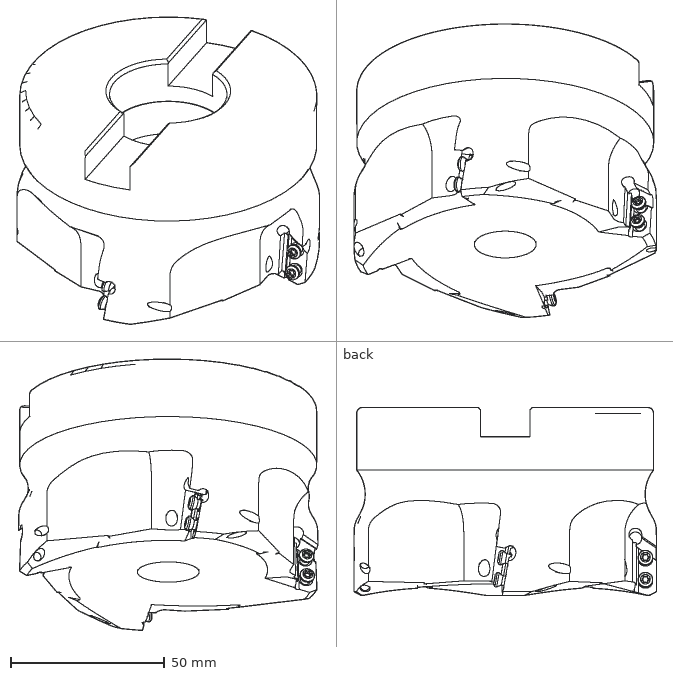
import cadquery as cq
import math

TEETH = 4
PITCH_ANGLE = 360 / TEETH

HEIGHT = 61.5
TOOTH_RADIUS = 49.4
RING_RADIUS = 48.5
RING_BOTTOM = 41.0
RING_EDGE_RADIUS = 2.0
NECK_RADIUS = 45.8
NECK_Z = 33.3
NECK_END = (47.1, 27.4)
SHOULDER_START = (47.9, 25.9)
SHOULDER_MIDDLE = (49.0, 23.6)
SHOULDER_END_Z = 21.1
CORNER_START_Z = 1.3
CORNER_INNER_RADIUS = 46.9

SHANK_BORE_RADIUS = 19.2
SHANK_BORE_CHAMFER = 1.2
LOWER_BORE_RADIUS = 19.0
LOWER_BORE_DEPTH = 15.3
BORE_FLOOR_Z = 33.9
BOLT_HOLE_RADIUS = 10.1
BOLT_HOLE_CHAMFER = 0.2
SLOT_WIDTH = 16.0
SLOT_DEPTH = 9.6
SLOT_CHAMFER = 0.9

DISH_RADIUS = 31.1
DISH_HEIGHT = 4.2
RELIEF_START = 5.9
RELIEF_END_ANGLE = 50.0
RELIEF_SLOPE_BACK = 0.34
RELIEF_SLOPE_OUT = 0.22
RECESS_PROFILE = [(CORNER_INNER_RADIUS, 0), (44.0, 1.7), (42.2, 4.3), (39.1, 4.8), (23.7, 2.8)]
RECESS_BACK = -28.7

GULLET_CORNER = (39.0, -13.5)
GULLET_FACE_ANGLE = 60.0
GULLET_ROOF_RADIUS = 11.4
GULLET_ROOF_Z = 20.5
GULLET_ROOF_TILT = 5.0
GULLET_WALL_TILT = 7.0
GULLET_WALL_Y = -4.8
GULLET_CORNER_RADIUS = 3.2
WALL_MARGIN = 3.0

SEAT_TILT = 10.0
SEAT_Y = -1.0
SEAT_INNER_X = 42.8
SEAT_TOP = 20.0
TOP_GROOVE_DROP = 1.4
SHELF_X = 41.5
SHELF_HEIGHT = 1.6
RELIEF_HOLE_X = 42.5
RELIEF_HOLE_HEIGHT = 19.4
RELIEF_HOLE_DEPTH = 2.1
SEAT_TOP_SLOPE = 34.5
SEAT_OPENING = 8.9
RELIEF_HOLE_RADIUS = 2.1
TOP_GROOVE_RADIUS = 2.0
SIDE_GROOVE_RADIUS = 0.7

SCREW_X = 45.8
SCREW_HEIGHTS = [4.8, 12.2]
SCREW_HOLE_RADIUS = 1.6
SCREW_LENGTH = 8.9
SINK_RADIUS = 2.4
NECK_LENGTH = 0.9
HEAD_RADIUS = 2.4
HEAD_CLEARANCE = 0.1
HEAD_RIM_START = 2.3
HEAD_RIM_END = 2.9
HEAD_FACE_RADIUS = 1.6
HEAD_TOP = 3.5
SOCKET_RADIUS = 0.9
SOCKET_DEPTH = 1.2
SOCKET_LOBES = 6
LOBE_RADIUS = 0.3

DUCT_RADIUS = 1.9
DUCT_START = (15.2, -2.5, BORE_FLOOR_Z)
DUCT_END = (39.5, -6.9, 8.5)

REACH = 29.6


def wedge_height(degrees, length):
    return length * math.tan(math.radians(degrees))


def rod(start, end, radius, overrun=0.0):
    """Cylinder between two points, lengthened by overrun at both ends."""
    first = cq.Vector(*start)
    axis = (cq.Vector(*end) - first).normalized()
    length = (cq.Vector(*end) - first).Length + 2 * overrun
    return cq.Workplane(cq.Solid.makeCylinder(radius, length, first - axis * overrun, axis))


def around(tool, index):
    return tool.rotate((0, 0, 0), (0, 0, 1), index * PITCH_ANGLE)


def seat_plane(x=0.0, height=0.0):
    """Plane lying in the seat; its normal points out of the seat, its local Y up the seat."""
    tilt = math.radians(SEAT_TILT)
    origin = (x, SEAT_Y + height * math.sin(tilt), height * math.cos(tilt))
    return cq.Plane(origin=origin, xDir=(1, 0, 0), normal=(0, -math.cos(tilt), math.sin(tilt)))


def turned_blank():
    outline = (
        cq.Workplane("XZ")
        .moveTo(0, HEIGHT)
        .lineTo(RING_RADIUS, HEIGHT)
        .lineTo(RING_RADIUS, RING_BOTTOM)
        .threePointArc((NECK_RADIUS, NECK_Z), NECK_END)
        .lineTo(*SHOULDER_START)
        .threePointArc(SHOULDER_MIDDLE, (TOOTH_RADIUS, SHOULDER_END_Z))
        .lineTo(TOOTH_RADIUS, CORNER_START_Z)
        .lineTo(CORNER_INNER_RADIUS, 0)
        .lineTo(DISH_RADIUS, DISH_HEIGHT)
        .lineTo(0, DISH_HEIGHT)
        .close()
    )
    return outline.revolve(360, (0, 0, 0), (0, 1, 0)).faces(">Z").edges().fillet(RING_EDGE_RADIUS)


def bore():
    lower_top = HEIGHT - LOWER_BORE_DEPTH
    mouth_radius = SHANK_BORE_RADIUS + SHANK_BORE_CHAMFER
    outline = (
        cq.Workplane("XZ")
        .moveTo(0, HEIGHT)
        .lineTo(mouth_radius, HEIGHT)
        .lineTo(SHANK_BORE_RADIUS, HEIGHT - SHANK_BORE_CHAMFER)
        .lineTo(SHANK_BORE_RADIUS, lower_top)
        .lineTo(LOWER_BORE_RADIUS, lower_top)
        .lineTo(LOWER_BORE_RADIUS, BORE_FLOOR_Z)
        .lineTo(BOLT_HOLE_RADIUS + BOLT_HOLE_CHAMFER, BORE_FLOOR_Z)
        .lineTo(BOLT_HOLE_RADIUS, BORE_FLOOR_Z - BOLT_HOLE_CHAMFER)
        .lineTo(BOLT_HOLE_RADIUS, 0)
        .lineTo(0, 0)
        .close()
    )
    return outline.revolve(360, (0, 0, 0), (0, 1, 0))


def drive_slot():
    half = SLOT_WIDTH / 2
    floor_z = HEIGHT - SLOT_DEPTH
    outline = [
        (-half, floor_z),
        (half, floor_z),
        (half, HEIGHT - SLOT_CHAMFER),
        (half + SLOT_CHAMFER, HEIGHT),
        (-half - SLOT_CHAMFER, HEIGHT),
        (-half, HEIGHT - SLOT_CHAMFER),
    ]
    return cq.Workplane("XZ").polyline(outline).close().extrude(TOOTH_RADIUS, both=True)


def gullet_face_tool(face_angle):
    """Everything outside one upright gullet face, with a round roof along its top edge."""
    direction = math.radians(face_angle)
    along = cq.Vector(math.cos(direction), math.sin(direction), 0)
    outward = cq.Vector(math.sin(direction), -math.cos(direction), 0)
    drop = cq.Vector(0, 0, -math.tan(math.radians(GULLET_ROOF_TILT)))
    axis = (along + drop).normalized()
    length = 2 * TOOTH_RADIUS
    start = cq.Vector(*GULLET_CORNER, GULLET_ROOF_Z) + axis * (length / 2)
    plane = cq.Plane(origin=start, xDir=outward, normal=axis * -1)
    radius = GULLET_ROOF_RADIUS
    arc_middle = radius * math.sqrt(0.5)
    return (
        cq.Workplane(plane)
        .moveTo(0, -REACH)
        .lineTo(0, 0)
        .threePointArc((radius - arc_middle, arc_middle), (radius, radius))
        .lineTo(REACH, radius)
        .lineTo(REACH, -REACH)
        .close()
        .extrude(length)
    )


def gullet_wall_y(z):
    return GULLET_WALL_Y + wedge_height(GULLET_WALL_TILT, z)


def is_gullet_corner(edge):
    """True for the upright edge and the roof edge that the wall makes inside the material."""
    middle = edge.Center()
    in_reach = middle.x < GULLET_CORNER[0] + GULLET_ROOF_RADIUS
    return in_reach and middle.z > 0


def gullet():
    """Two upright faces meeting at a ridge, ended by the leaning wall in front of the seat."""
    front_of_wall = [
        (gullet_wall_y(-REACH), -REACH),
        (gullet_wall_y(2 * REACH), 2 * REACH),
        (-TOOTH_RADIUS, 2 * REACH),
        (-TOOTH_RADIUS, -REACH),
    ]
    wall_space = cq.Workplane("YZ").polyline(front_of_wall).close().extrude(2 * TOOTH_RADIUS)
    inner = gullet_face_tool(90).intersect(wall_space)
    wall_face = inner.faces(">Y").val()
    corner_edges = [edge for edge in wall_face.Edges() if is_gullet_corner(edge)]
    inner = inner.newObject(corner_edges).fillet(GULLET_CORNER_RADIUS)
    outer = gullet_face_tool(GULLET_FACE_ANGLE)
    clear_of_wall = cq.Workplane("XY").box(4 * TOOTH_RADIUS, TOOTH_RADIUS, 4 * TOOTH_RADIUS)
    clear_of_wall = clear_of_wall.translate((0, GULLET_CORNER[1] + WALL_MARGIN - TOOTH_RADIUS / 2, 0))
    return inner.union(outer.intersect(clear_of_wall))


def underside_relief():
    """Space below the sloping plane that clears the back of a tooth."""
    base = cq.Vector(CORNER_INNER_RADIUS, RELIEF_START, 0)
    normal = cq.Vector(RELIEF_SLOPE_OUT, RELIEF_SLOPE_BACK, -1)
    plane = cq.Plane(origin=base, xDir=(RELIEF_SLOPE_BACK, -RELIEF_SLOPE_OUT, 0), normal=normal)
    slab = cq.Workplane(plane).rect(4 * REACH, 4 * REACH).extrude(REACH)
    sector_end = wedge_height(RELIEF_END_ANGLE, 2 * REACH)
    sector = cq.Workplane("XY").polyline([(0, 0), (2 * REACH, 0), (2 * REACH, sector_end)]).close()
    return slab.intersect(sector.extrude(REACH))


def underside_recess():
    """Chip recess under the body in front of the seat."""
    first_x = RECESS_PROFILE[0][0]
    last_x = RECESS_PROFILE[-1][0]
    section = (
        cq.Workplane("XZ", origin=(0, RECESS_BACK, 0))
        .polyline(RECESS_PROFILE + [(last_x, -REACH), (first_x, -REACH)])
        .close()
    )
    return section.extrude(RECESS_BACK - SEAT_Y)


def insert_seat():
    """Insert pocket with a shelf beside the seat, relief grooves and a corner relief hole."""
    drop = wedge_height(SEAT_TOP_SLOPE, REACH)
    frame = seat_plane()
    outline = [
        (SEAT_INNER_X, -REACH),
        (SEAT_INNER_X, SEAT_TOP),
        (SEAT_INNER_X + REACH, SEAT_TOP - drop),
        (SEAT_INNER_X + REACH, -REACH),
    ]
    pocket = cq.Workplane(frame).polyline(outline).close().extrude(SEAT_OPENING)
    shelf_outline = [
        (SHELF_X, -REACH),
        (SHELF_X, SEAT_TOP),
        (SEAT_INNER_X, SEAT_TOP),
        (SEAT_INNER_X, -REACH),
    ]
    shelf = cq.Workplane(frame).workplane(offset=SHELF_HEIGHT).polyline(shelf_outline).close()
    shelf = shelf.extrude(SEAT_OPENING - SHELF_HEIGHT)

    def seat_point(x, height):
        return frame.toWorldCoords((x, height, 0)).toTuple()

    groove_top = SEAT_TOP - TOP_GROOVE_DROP
    groove_start = seat_point(SEAT_INNER_X, groove_top)
    groove_end = seat_point(SEAT_INNER_X + REACH, groove_top - drop)
    side_end = seat_point(SEAT_INNER_X, -REACH)
    hole_plane = cq.Workplane(seat_plane(RELIEF_HOLE_X, RELIEF_HOLE_HEIGHT))
    relief_hole = hole_plane.workplane(offset=-RELIEF_HOLE_DEPTH).circle(RELIEF_HOLE_RADIUS)
    return (
        pocket.union(shelf)
        .union(relief_hole.extrude(SEAT_OPENING + RELIEF_HOLE_DEPTH))
        .union(rod(groove_start, groove_end, TOP_GROOVE_RADIUS))
        .union(rod(groove_start, side_end, SIDE_GROOVE_RADIUS))
    )


def screw_hole(height):
    """Threaded hole through the tooth, countersunk at the seat and open in front of it."""
    plane = seat_plane(SCREW_X, height)
    hole = cq.Workplane(plane).circle(SCREW_HOLE_RADIUS).extrude(-REACH)
    sink = cq.Workplane(plane).circle(SINK_RADIUS).workplane(offset=SCREW_HOLE_RADIUS - SINK_RADIUS)
    sink = sink.circle(SCREW_HOLE_RADIUS).loft()
    access = cq.Workplane(plane).circle(HEAD_RADIUS + HEAD_CLEARANCE).extrude(SEAT_OPENING)
    return hole.union(sink).union(access)


def screw(height):
    outline = [
        (0, -SCREW_LENGTH),
        (SCREW_HOLE_RADIUS, -SCREW_LENGTH),
        (SCREW_HOLE_RADIUS, NECK_LENGTH),
        (HEAD_RADIUS, HEAD_RIM_START),
        (HEAD_RADIUS, HEAD_RIM_END),
        (HEAD_FACE_RADIUS, HEAD_TOP),
        (0, HEAD_TOP),
    ]
    shape = cq.Workplane("XY").polyline(outline).close().revolve(360, (0, 0, 0), (0, 1, 0))
    shape = shape.rotate((0, 0, 0), (1, 0, 0), 90)
    socket = cq.Workplane("XY", origin=(0, 0, HEAD_TOP)).circle(SOCKET_RADIUS).extrude(-SOCKET_DEPTH)
    lobes = (
        cq.Workplane("XY", origin=(0, 0, HEAD_TOP))
        .polarArray(SOCKET_RADIUS, 0, 360, SOCKET_LOBES)
        .circle(LOBE_RADIUS)
        .extrude(-SOCKET_DEPTH)
    )
    shape = shape.cut(socket).cut(lobes)
    return cq.Workplane(shape.val().moved(cq.Location(seat_plane(SCREW_X, height))))


def cutter_body():
    body = turned_blank().cut(bore()).cut(drive_slot())
    tools = [gullet(), underside_relief(), underside_recess(), insert_seat()]
    tools.append(rod(DUCT_START, DUCT_END, DUCT_RADIUS, overrun=DUCT_RADIUS))
    tools += [screw_hole(height) for height in SCREW_HEIGHTS]
    for index in range(TEETH):
        for tool in tools:
            body = body.cut(around(tool, index))
    return body


body = cutter_body()
screws = []
for index in range(TEETH):
    for height in SCREW_HEIGHTS:
        screws += around(screw(height), index).solids().vals()

result = cq.Compound.makeCompound([*body.solids().vals(), *screws])